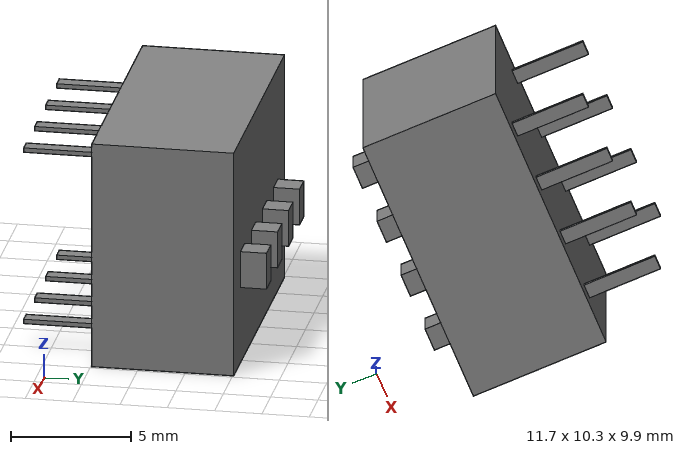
import cadquery as cq

body_width = 11.72
body_depth = 6.0
body_height = 9.9

position_count = 4
pitch = 2.54

pin_width = 0.6
pin_thickness = 0.2
pin_length = 3.2
pin_row_spacing = 7.62

actuator_width = 1.0
actuator_height = 1.59
total_depth = 10.3
actuator_length = total_depth - body_depth - pin_length

embed = 0.12


def box(width, depth, height, x, y_start, z):
    """Box centred on x and z, running toward +Y from y_start."""
    return (
        cq.Workplane("XY")
        .box(width, depth, height, centered=(True, False, True))
        .translate((x, y_start, z))
    )


result = box(body_width, body_depth, body_height, 0, 0, 0)

for index in range(position_count):
    x = (index - (position_count - 1) / 2) * pitch

    for z in (-pin_row_spacing / 2, pin_row_spacing / 2):
        pin = box(pin_width, pin_length + embed, pin_thickness, x, -pin_length, z)
        result = result.union(pin)

    actuator = box(
        actuator_width,
        actuator_length + embed,
        actuator_height,
        x,
        body_depth - embed,
        -actuator_height / 2,
    )
    result = result.union(actuator)